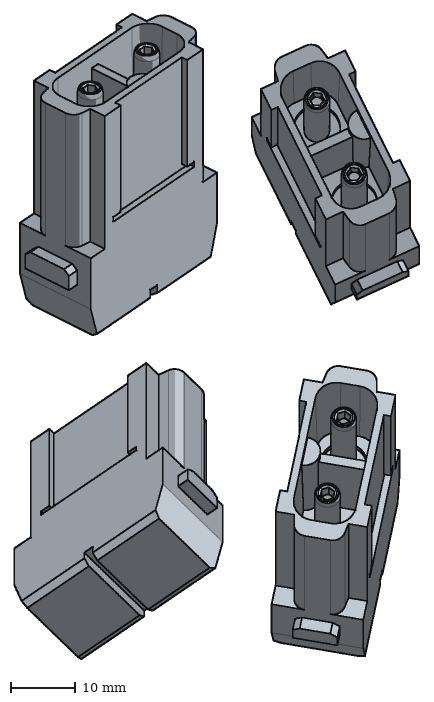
import cadquery as cq
import math

width = 14.6
body_length = 30.25
height = 41.8
half_width = width / 2
half_length = body_length / 2

taper_top = 6.48
taper_inset = 1.7
bottom_chamfer_width = 1.13
bottom_chamfer_height = 0.88
notch_width = 1.7
notch_height = 2.42

shoulder_z = 16.25
notch_y = 11.8
lobe_half_flat = 2.05
lobe_radius = 2.0
lobe_draft = math.radians(10)

recess_depth = 1.13
recess_length = 15.95
recess_floor = 20.35
undercut_length = 19.4
undercut_height = 0.9

lug_overhang = 1.95
lug_bottom = 9.85
lug_top = 13.45
lug_chamfer_height = 0.85
front_lug_width = 8.95
front_lug_chamfer = 1.0
rear_lug_width = 7.1
rear_lug_chamfer = 1.13

chamber_width = 9.82
chamber_length = 24.45
chamber_corner_radius = 3.4
chamber_floor = 25.1
draft_angle = 1.0
divider_draft_angle = 0.5
divider_width = 1.55
divider_top = 39.3
key_radius = 2.45
key_top = 40.65

pin_spacing = 13.55
pin_radius = 2.0
pin_top = 41.1
pin_rim_radius = 1.75
pin_round_height = 0.85
countersink_radius = 1.45
countersink_depth = 0.25
pin_well_diameter = 7.3
pin_well_depth = 1.0
socket_across_flats = 2.0
socket_depth = 2.5
socket_tip_height = 0.6


def block(size_x, size_y, bottom, top):
    """Box centred on the Z axis between two heights."""
    return (
        cq.Workplane("XY", origin=(0, 0, bottom))
        .rect(size_x, size_y)
        .extrude(top - bottom)
    )


def tapered_base():
    """Base that narrows in Y towards the underside, with chamfered X edges and a cross notch."""
    end_half = half_length - taper_inset
    side_outline = [
        (-half_length, shoulder_z),
        (-half_length, taper_top),
        (-end_half, 0),
        (end_half, 0),
        (half_length, taper_top),
        (half_length, shoulder_z),
    ]
    base = cq.Workplane("YZ").polyline(side_outline).close().extrude(half_width, both=True)

    foot_half = half_width - bottom_chamfer_width
    front_outline = [
        (-half_width, shoulder_z),
        (-half_width, bottom_chamfer_height),
        (-foot_half, 0),
        (foot_half, 0),
        (half_width, bottom_chamfer_height),
        (half_width, shoulder_z),
    ]
    envelope = cq.Workplane("XZ").polyline(front_outline).close().extrude(half_length, both=True)
    return base.intersect(envelope).cut(block(width, notch_width, 0, notch_height))


def end_lobe():
    """Rounded rib profile that spans the housing and stands out at its +Y and -Y ends."""
    arc_y = half_length - lobe_radius

    def arc_point(angle):
        return (
            lobe_half_flat + lobe_radius * math.cos(angle),
            arc_y + lobe_radius * math.sin(angle),
        )

    tangent_x, tangent_y = arc_point(lobe_draft)
    middle_x, middle_y = arc_point((lobe_draft + math.pi / 2) / 2)
    root_x = tangent_x + (tangent_y - notch_y) * math.tan(lobe_draft)
    lobe = (
        cq.Workplane("XY", origin=(0, 0, shoulder_z))
        .moveTo(0, 0)
        .lineTo(root_x, 0)
        .lineTo(root_x, notch_y)
        .lineTo(tangent_x, tangent_y)
        .threePointArc((middle_x, middle_y), (lobe_half_flat, half_length))
        .lineTo(0, half_length)
        .close()
        .extrude(height - shoulder_z)
    )
    lobe = lobe.union(lobe.mirror("YZ"))
    return lobe.union(lobe.mirror("XZ"))


def side_recesses():
    """Shallow recess open at the top of each X face, with a wider undercut along its floor."""
    core_width = width - 2 * recess_depth
    recess = block(width, recess_length, recess_floor, height)
    undercut = block(width, undercut_length, recess_floor, recess_floor + undercut_height)
    return recess.union(undercut).cut(block(core_width, body_length, 0, height))


def lug(lug_width, chamfer_width, side):
    """Locking lug on the +Y (side = 1) or -Y (side = -1) face, chamfered at its upper corners."""
    half = lug_width / 2
    outline = [
        (-half, lug_bottom),
        (half, lug_bottom),
        (half, lug_top - lug_chamfer_height),
        (half - chamfer_width, lug_top),
        (-half + chamfer_width, lug_top),
        (-half, lug_top - lug_chamfer_height),
    ]
    reach = half_length + lug_overhang
    return cq.Workplane("XZ").polyline(outline).close().extrude(-side * reach)


def chamber():
    """Drafted contact space: rounded rectangle less the divider wall and the half-round key."""
    outline = cq.Sketch().rect(chamber_width, chamber_length).vertices().fillet(chamber_corner_radius)
    space = (
        cq.Workplane("XY", origin=(0, 0, height))
        .placeSketch(outline)
        .extrude(-(height - chamber_floor), taper=draft_angle)
    )
    divider = (
        cq.Workplane("XY", origin=(0, 0, divider_top))
        .rect(width, divider_width)
        .extrude(-(divider_top - chamber_floor), taper=-divider_draft_angle)
    )
    key = (
        cq.Workplane("XY", origin=(chamber_width / 2, 0, chamber_floor))
        .circle(key_radius)
        .extrude(key_top - chamber_floor)
    )
    return space.cut(divider).cut(key)


def pin_well(y):
    """Round recess in the chamber floor around a pin."""
    return (
        cq.Workplane("XY", origin=(0, y, chamber_floor - pin_well_depth))
        .circle(pin_well_diameter / 2)
        .extrude(pin_well_depth)
    )


def pin(y):
    """Contact pin with a rounded rim, a countersunk hexagon socket ending in a cone."""
    foot = chamber_floor - pin_well_depth
    rim_inset = pin_radius - pin_rim_radius
    round_radius = (rim_inset**2 + pin_round_height**2) / (2 * rim_inset)
    half_sweep = math.asin(pin_round_height / round_radius) / 2
    shoulder = pin_top - pin_round_height
    round_middle = (
        pin_radius - round_radius * (1 - math.cos(half_sweep)),
        shoulder + round_radius * math.sin(half_sweep),
    )
    countersink_floor = pin_top - countersink_depth
    socket_radius = socket_across_flats / 2
    body = (
        cq.Workplane("XZ")
        .moveTo(0, foot)
        .lineTo(pin_radius, foot)
        .lineTo(pin_radius, shoulder)
        .threePointArc(round_middle, (pin_rim_radius, pin_top))
        .lineTo(countersink_radius, pin_top)
        .lineTo(socket_radius, countersink_floor)
        .lineTo(0, countersink_floor)
        .close()
        .revolve(360, (0, 0, 0), (0, 1, 0))
    )

    socket_floor = pin_top - socket_depth
    hexagon = (
        cq.Workplane("XY", origin=(0, 0, socket_floor))
        .polygon(6, socket_across_flats, circumscribed=True)
        .extrude(socket_depth)
    )
    tip = cq.Workplane(
        cq.Solid.makeCone(
            0,
            socket_radius,
            socket_tip_height,
            pnt=cq.Vector(0, 0, socket_floor - socket_tip_height),
        )
    )
    return body.cut(hexagon).cut(tip).translate((0, y, 0))


result = (
    tapered_base()
    .union(block(width, 2 * notch_y, shoulder_z, height))
    .union(end_lobe())
    .cut(side_recesses())
    .union(lug(front_lug_width, front_lug_chamfer, -1))
    .union(lug(rear_lug_width, rear_lug_chamfer, 1))
    .cut(chamber())
)
for pin_y in (-pin_spacing / 2, pin_spacing / 2):
    result = result.cut(pin_well(pin_y)).union(pin(pin_y))